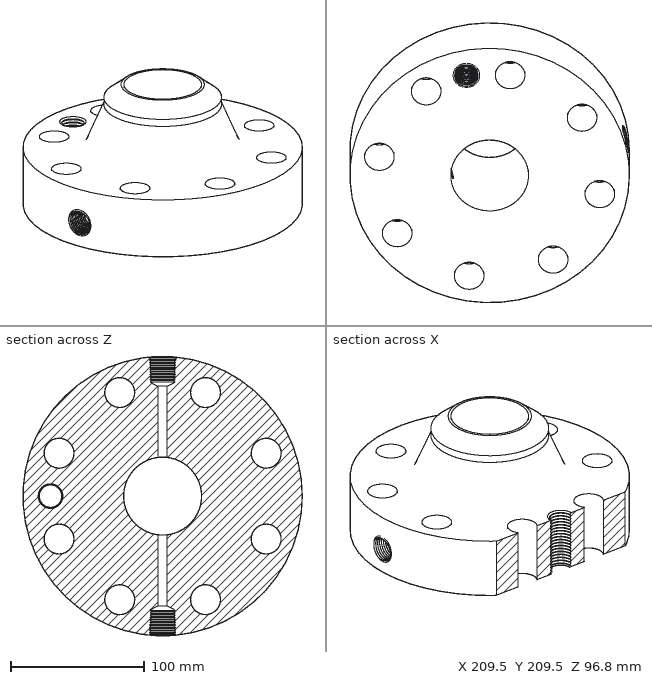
import cadquery as cq
import math

flange_diameter = 209.5
flange_radius = flange_diameter / 2
flange_thickness = 46.0

total_height = 96.8
bore_diameter = 58.3
bore_radius = bore_diameter / 2
neck_radius = 44.2
weld_land = 2.0
neck_band_bottom = 80.9
neck_band_top = 86.5
hub_base_radius = 59.0
hub_fillet = 2.5

bolt_count = 8
bolt_circle_radius = 84.0
bolt_hole_diameter = 22.2

jack_root_diameter = 20.0
jack_root_radius = jack_root_diameter / 2
jack_crest_radius = 8.4
jack_pitch = 2.5
jack_crest_flat = jack_pitch / 8

tap_height = 18.9
tap_root_radius = 10.5
tap_thread_height = 1.3
tap_pitch = 1.82
tap_thread_count = 12
tap_taper = 1 / 32
tap_drill_diameter = 9.5
tap_drill_radius = tap_drill_diameter / 2
tap_tip_angle = 118


def flange_and_neck():
    """Revolved body; the bore is left open by the profile."""
    body = (
        cq.Workplane("XZ")
        .moveTo(bore_radius, 0)
        .lineTo(flange_radius, 0)
        .lineTo(flange_radius, flange_thickness)
        .lineTo(hub_base_radius, flange_thickness)
        .lineTo(neck_radius, neck_band_bottom)
        .lineTo(neck_radius, neck_band_top)
        .lineTo(bore_radius + weld_land, total_height)
        .lineTo(bore_radius, total_height)
        .close()
        .revolve(360, (0, 0), (0, 1))
    )
    hub_base_edge = cq.selectors.RadiusNthSelector(-2)
    return body.edges("%CIRCLE").edges(hub_base_edge).fillet(hub_fillet)


def thread_outline(root_radius, crest_radius, pitch, count, crest_flat=0.0, taper=0.0):
    """V-shaped ring grooves as (radius, depth) points, from a root to a crest."""
    points = []
    for turn in range(count):
        depth = turn * pitch
        crest_start = depth + (pitch - crest_flat) / 2
        points.append((root_radius - taper * depth, depth))
        points.append((crest_radius - taper * crest_start, crest_start))
        if crest_flat > 0:
            crest_end = crest_start + crest_flat
            points.append((crest_radius - taper * crest_end, crest_end))
    return points


def revolved_cutter(outline):
    """Solid of revolution about +Z, closed along the axis."""
    end_depth = outline[-1][1]
    points = [(0, 0)] + outline + [(0, end_depth)]
    return cq.Workplane("XZ").polyline(points).close().revolve(360, (0, 0), (0, 1))


def bolt_holes():
    return (
        cq.Workplane("XY")
        .polarArray(bolt_circle_radius, 180 / bolt_count, 360, bolt_count)
        .circle(bolt_hole_diameter / 2)
        .extrude(flange_thickness)
    )


def jack_screw_hole():
    thread_count = math.ceil(flange_thickness / jack_pitch) + 1
    outline = thread_outline(
        jack_root_radius, jack_crest_radius, jack_pitch, thread_count, crest_flat=jack_crest_flat
    )
    cutter = revolved_cutter(outline)
    return cutter.mirror("XY").translate((-bolt_circle_radius, 0, flange_thickness))


def pressure_tap():
    """Tapered thread, drill cone and passage into the bore, on the -Y side."""
    crest_radius = tap_root_radius - tap_thread_height
    outline = thread_outline(
        tap_root_radius, crest_radius, tap_pitch, tap_thread_count, taper=tap_taper
    )
    cone_radius, cone_start = outline[-1]
    cone_length = (cone_radius - tap_drill_radius) / math.tan(math.radians(tap_tip_angle / 2))
    outline.append((tap_drill_radius, cone_start + cone_length))
    outline.append((tap_drill_radius, flange_radius))
    cutter = revolved_cutter(outline)
    start_y = -flange_radius - tap_pitch / 2
    return cutter.rotate((0, 0, 0), (1, 0, 0), -90).translate((0, start_y, tap_height))


tap = pressure_tap()
result = flange_and_neck().cut(bolt_holes()).cut(jack_screw_hole()).cut(tap).cut(tap.mirror("XZ"))